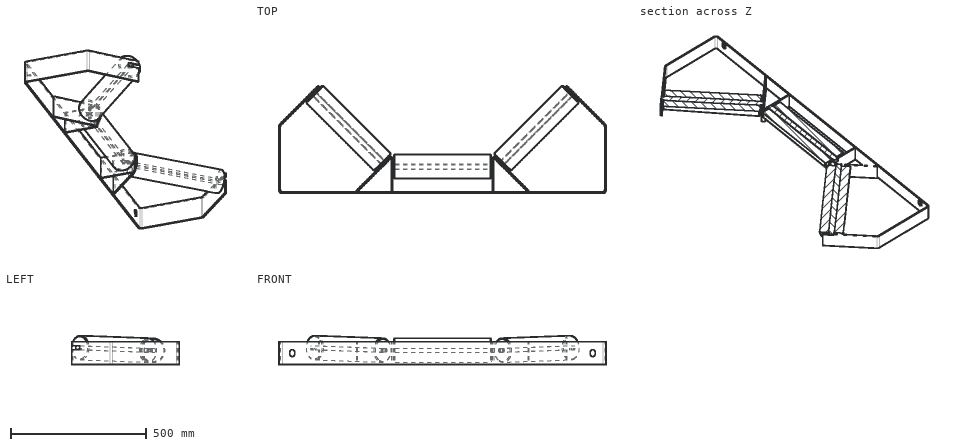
import cadquery as cq

strip_height = 85.0
strip_thickness = 6.0

frame_length = 1210.0
frame_depth = 398.0
shoulder_y = 253.0
frame_bend_radius = 12.0

mount_slot_width = 18.0
mount_slot_height = 25.0
mount_slot_inset = 50.0

bracket_bend_radius = 7.0

roller_diameter = 90.0
roller_length = 360.0
roller_bevel = 4.0
roller_gap = 4.0
shaft_diameter = 20.0
shaft_flat_height = 15.0

center_axis_y = 99.0
center_axis_z = 53.0
wing_middle_z = 58.0
wing_tilt = 1.5
wing_axis_inset = 31.0

bay_length = roller_length + 2 * roller_gap
bay_half = bay_length / 2
shaft_length = bay_length + 2 * strip_thickness

wing_angle = 45.0
diagonal = cq.Vector(1, 1)
tipward = diagonal.normalized()
inward = cq.Vector(1, -1).normalized()
shoulder = cq.Vector(-frame_length / 2, shoulder_y)
arm_tip = shoulder + diagonal * (frame_depth - shoulder_y)
wing_middle = arm_tip + inward * (strip_thickness + bay_half) - tipward * wing_axis_inset

center_place = cq.Location(cq.Vector(0, center_axis_y, center_axis_z))
wing_place = (
    cq.Location(wing_middle + cq.Vector(0, 0, wing_middle_z))
    * cq.Location(cq.Vector(), cq.Vector(0, 0, 1), -wing_angle)
    * cq.Location(cq.Vector(), cq.Vector(0, 1, 0), wing_tilt)
)


def mirrored(body):
    """The matching body on the right-hand side."""
    return body.mirror("YZ")


def bent_strip(outer_path, bend_radius):
    """Strip standing on edge, its outer face along the path and its metal to the right of it."""
    directions = [(end - start).normalized() for start, end in zip(outer_path, outer_path[1:])]
    directions_before = directions[:1] + directions
    directions_after = directions + directions[-1:]
    inner_path = []
    for corner, before, after in zip(outer_path, directions_before, directions_after):
        normal_sum = cq.Vector(before.y + after.y, -before.x - after.x)
        inner_path.append(corner + normal_sum * (strip_thickness / (1 + before.dot(after))))
    outline = [(point.x, point.y) for point in outer_path + inner_path[::-1]]
    strip = cq.Workplane("XY").polyline(outline).close().extrude(strip_height)
    for path, radius in ((outer_path, bend_radius), (inner_path, bend_radius - strip_thickness)):
        for corner in path[1:-1]:
            bend_edge = cq.selectors.NearestToPointSelector((corner.x, corner.y, strip_height / 2))
            strip = strip.edges(bend_edge).fillet(radius)
    return strip


def cylinder(diameter, length):
    """Cylinder along X, centered on the origin."""
    return cq.Workplane("YZ", origin=(-length / 2, 0, 0)).circle(diameter / 2).extrude(length)


def make_shaft(length):
    """Round bar along X with a flat above and below."""
    flats = cq.Workplane("XY").box(length, shaft_diameter, shaft_flat_height)
    return cylinder(shaft_diameter, length).intersect(flats)


def make_roller():
    """Bevelled cylinder along X, bored for its shaft."""
    drum = cylinder(roller_diameter, roller_length).edges().chamfer(roller_bevel)
    return drum.cut(make_shaft(roller_length))


def make_bore():
    """Cutter for the holes that hold the two ends of a shaft."""
    return make_shaft(shaft_length + 2 * strip_thickness)


def make_drop_in_slot():
    """Cutter that opens the outer hole of a wing shaft to the arm's tip."""
    slot_length = 2 * wing_axis_inset
    slot_width = 2 * strip_thickness
    slot = cq.Workplane("XY").box(
        slot_width, slot_length, shaft_flat_height, centered=(True, False, True)
    )
    return slot.translate((-bay_half - strip_thickness / 2, 0, 0))


def make_frame():
    """Base, two upright sides and two inclined arms, bent from one strip."""
    corner = cq.Vector(-frame_length / 2, 0)
    left_path = [arm_tip, shoulder, corner]
    right_path = [cq.Vector(-point.x, point.y) for point in left_path]
    frame = bent_strip(right_path + left_path[::-1], frame_bend_radius)
    mount_slot_x = frame_length / 2 - mount_slot_inset
    mount_slots = (
        cq.Workplane("XZ", origin=(0, 0, strip_height / 2))
        .pushPoints([(-mount_slot_x, 0), (mount_slot_x, 0)])
        .slot2D(mount_slot_height, mount_slot_width, 90)
        .extrude(-strip_thickness)
    )
    frame = frame.cut(mount_slots)
    for cutter in (make_bore(), make_drop_in_slot()):
        left_cutter = cutter.val().moved(wing_place)
        for placed in (left_cutter, mirrored(left_cutter)):
            frame = frame.cut(cq.Workplane(placed))
    return frame


def make_bracket():
    """Left bracket: an inclined leg for the wing shaft and an upright leg for the center shaft."""
    incline_start = arm_tip + inward * (strip_thickness + bay_length)
    apex = incline_start + diagonal * (-bay_half - incline_start.x)
    incline_foot_y = strip_thickness + strip_thickness * tipward.y
    incline_foot = apex - diagonal * (apex.y - incline_foot_y)
    upright_foot = cq.Vector(apex.x, strip_thickness)
    bracket = bent_strip([incline_foot, apex, upright_foot], bracket_bend_radius)
    for place in (wing_place, center_place):
        bracket = bracket.cut(cq.Workplane(make_bore().val().moved(place)))
    return bracket


def in_three_places(body):
    """Copies of a body on the center axis, the left wing axis and the right wing axis."""
    left_wing = body.moved(wing_place)
    return [body.moved(center_place), left_wing, mirrored(left_wing)]


frame = make_frame().solids().val()
left_bracket = make_bracket().solids().val()
brackets = [left_bracket, mirrored(left_bracket)]
rollers = in_three_places(make_roller().solids().val())
shafts = in_three_places(make_shaft(shaft_length).solids().val())

result = cq.Compound.makeCompound([frame, *brackets, *rollers, *shafts])